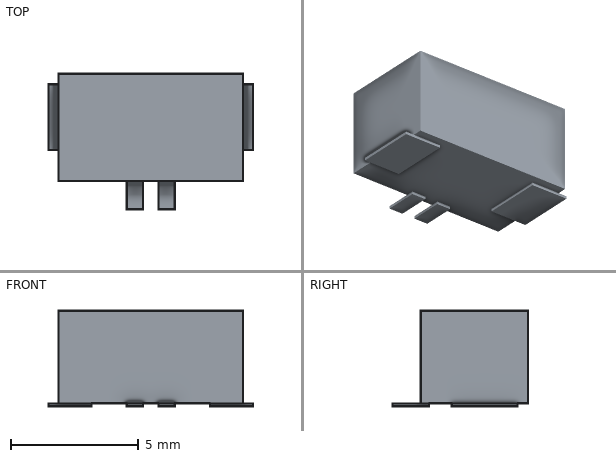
import cadquery as cq

overall_length = 8.03
overall_width = 5.32
overall_height = 3.75

housing_length = 7.25
housing_width = 4.215

terminal_thickness = 0.11
end_terminal_length = 1.695
end_terminal_width = 2.59
end_terminal_inset = 0.41
front_terminal_width = 0.64
front_terminal_length = 1.445
front_terminal_pitch = 1.245

housing_height = overall_height - terminal_thickness
housing_back = housing_width / 2
front_tip = housing_back - overall_width
end_terminal_x = (overall_length - end_terminal_length) / 2
end_terminal_y = housing_back - end_terminal_inset - end_terminal_width / 2
front_terminal_y = front_tip + front_terminal_length / 2


def make_housing():
    """Plain block resting on top of the terminals."""
    return (
        cq.Workplane("XY")
        .workplane(offset=terminal_thickness)
        .box(housing_length, housing_width, housing_height, centered=(True, True, False))
    )


def make_terminal(size_x, size_y, center_x, center_y):
    """Flat rectangular terminal with its underside at Z = 0."""
    return (
        cq.Workplane("XY")
        .center(center_x, center_y)
        .box(size_x, size_y, terminal_thickness, centered=(True, True, False))
    )


housing = make_housing()

end_terminals = []
front_terminals = []
for side in (-1, 1):
    end_terminals.append(
        make_terminal(end_terminal_length, end_terminal_width, side * end_terminal_x, end_terminal_y)
    )
    front_terminals.append(
        make_terminal(
            front_terminal_width,
            front_terminal_length,
            side * front_terminal_pitch / 2,
            front_terminal_y,
        )
    )

terminals = end_terminals + front_terminals
result = cq.Compound.makeCompound([housing.val(), *[terminal.val() for terminal in terminals]])